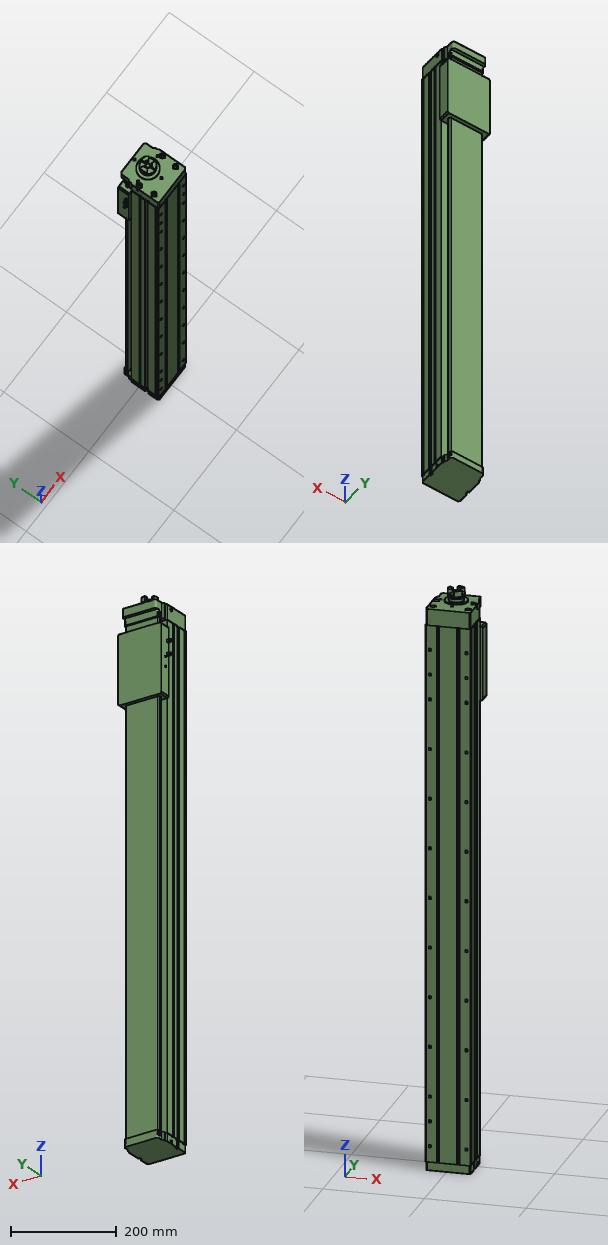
import cadquery as cq
import math


overall_height = 1155.9
end_plate_height = 17.0
head_bottom = 1098.0
head_top = 1131.0
flange_top = 1133.5
hub_bottom = 1140.0
jaw_bottom = 1148.0

profile_width = 90.0
profile_depth = 64.0
profile_chamfer = 1.5
front_slot_offset = 20.0
front_slot_width = 3.4
front_slot_depth = 8.0
front_slot_lip = 1.0
side_slot_depth = 3.0
side_slots = [(3.7, 7.2), (24.5, 31.5), (41.9, 45.4)]
middle_slot = side_slots[1]

mount_hole_diameter = 5.19
mount_hole_depth = 10.0
mount_hole_x = 36.0
first_mount_hole = 49.0
mount_hole_pitch = 100.0
pitch_count = 10
extra_hole_step = 50.0

plate_width = 88.0
plate_chamfer = 2.8
shoulder_width = 84.0
rear_width = 78.0
shoulder_top = 66.5
slope_bottom = 71.0
slope_top = 74.5
rear_depth = 87.5
rear_corner = 5.0
crest_depth = 94.28
crest_corner = 5.0
crest_bottom = 1113.0

axis_y = 57.7
flange_diameter = 45.0
motor_hole_diameter = 4.92
motor_hole_circle = 63.0
motor_hole_count = 4
motor_hole_depth = 12.0
counterbore_diameter = 11.0
counterbore_depth = 6.0
corner_bolt_diameter = 6.0
corner_bolts = [(34.5, 18.0), (37.0, 51.0)]
side_hole_diameter = 5.0
side_hole_depth = 6.0
side_hole_y = 49.0
head_side_hole_z = 1124.0
plate_side_hole_z = 5.5
clamp_hole_diameter = 9.0
clamp_bolt_diameter = 5.0
clamp_hole_depth = 3.0
clamp_bolt_depth = 10.0
clamp_hole_y = 81.0
head_clamp_z = 1105.0
plate_clamp_z = 11.0

shaft_diameter = 10.0
shaft_end_chamfer = 1.0
neck_diameter = 30.0
hub_diameter = 33.0
groove_bottom = 1143.0
groove_width = 1.5
groove_depth = 0.5
jaw_inner_diameter = 16.0
jaw_count = 3
jaw_angle = 60.0

cover_width = rear_width
cover_bottom = 76.7
cover_top = 83.6
cover_chamfer = 3.0

slider_width = 100.0
slider_bottom_y = 66.5
slider_top_y = 91.5
slider_z = 931.0
slider_length = 150.0
slider_chamfer = 3.0
nipple_reach = 8.39
nipple_base_reach = 4.0
nipple_base_diameter = 7.0
nipple_tip_diameter = 4.5
nipple_y = 70.0
nipple_heights = [1021.0, 1049.0]
slider_hole_diameter = 3.24
slider_hole_depth = 8.0
slider_hole_y = 77.0
slider_hole_heights = [993.0, 1014.0]


def box(x0, x1, y0, y1, z0, z1):
    """Block between two opposite corners."""
    block = cq.Workplane("XY").box(x1 - x0, y1 - y0, z1 - z0, centered=False)
    return block.translate((x0, y0, z0))


def rod_z(x, y, z0, z1, diameter):
    """Cylinder along Z between two heights."""
    return cq.Workplane("XY", origin=(x, y, z0)).circle(diameter / 2).extrude(z1 - z0)


def rod_x(x, y, z, length, diameter):
    """Cylinder that runs from x towards +X, or towards -X for a negative length."""
    return cq.Workplane("YZ", origin=(x, y, z)).circle(diameter / 2).extrude(length)


def rod_y(x, z, depth, diameter):
    """Cylinder that runs from the mounting face towards +Y."""
    return cq.Workplane("XZ", origin=(x, 0, z)).circle(diameter / 2).extrude(-depth)


def front_slot(side):
    """Slot with a chamfered mouth along the mounting face, at X = side * front_slot_offset."""
    inner = front_slot_width / 2
    outer = inner + front_slot_lip
    outline = [
        (-outer, 0),
        (outer, 0),
        (inner, front_slot_lip),
        (inner, front_slot_depth),
        (-inner, front_slot_depth),
        (-inner, front_slot_lip),
    ]
    slot = cq.Workplane("XY").polyline(outline).close().extrude(head_bottom)
    return slot.translate((side * front_slot_offset, 0, 0))


def side_slot(side, limits, wall_x, z0, z1):
    """Rectangular slot in a side wall."""
    inside = wall_x - side_slot_depth
    x0, x1 = sorted((side * inside, side * wall_x))
    return box(x0, x1, limits[0], limits[1], z0, z1)


def make_profile():
    half = profile_width / 2
    body = box(-half, half, 0, profile_depth, end_plate_height, head_bottom)
    body = body.edges("|Z and <Y").chamfer(profile_chamfer)
    for side in (-1, 1):
        body = body.cut(front_slot(side))
        for limits in side_slots:
            body = body.cut(side_slot(side, limits, half, end_plate_height, head_bottom))

    paired_heights = [first_mount_hole + i * mount_hole_pitch for i in range(pitch_count + 1)]
    paired_heights.append(paired_heights[-1] - extra_hole_step)
    for z in paired_heights:
        for side in (-1, 1):
            body = body.cut(rod_y(side * mount_hole_x, z, mount_hole_depth, mount_hole_diameter))
    single_height = first_mount_hole + extra_hole_step
    return body.cut(rod_y(-mount_hole_x, single_height, mount_hole_depth, mount_hole_diameter))


def plate_blank(z0, z1):
    """Common outline of head and end plate: chamfered front, stepped shoulders, narrow rounded rear."""
    half = plate_width / 2
    right_side = [
        (half - plate_chamfer, 0),
        (half, plate_chamfer),
        (half, profile_depth),
        (shoulder_width / 2, shoulder_top),
        (shoulder_width / 2, slope_bottom),
        (rear_width / 2, slope_top),
        (rear_width / 2, rear_depth),
    ]
    left_side = [(-x, y) for x, y in reversed(right_side)]
    outline = cq.Workplane("XY", origin=(0, 0, z0)).polyline(right_side + left_side).close()
    return outline.extrude(z1 - z0).edges("|Z and >Y").fillet(rear_corner)


def cut_side_holes(plate, side_z, clamp_z):
    """Cross hole and counterbored cover clamp hole on both sides of a plate."""
    for side in (-1, 1):
        holes = [
            (plate_width / 2, side_hole_y, side_z, side_hole_depth, side_hole_diameter),
            (rear_width / 2, clamp_hole_y, clamp_z, clamp_hole_depth, clamp_hole_diameter),
            (rear_width / 2, clamp_hole_y, clamp_z, clamp_bolt_depth, clamp_bolt_diameter),
        ]
        for wall_x, y, z, depth, diameter in holes:
            plate = plate.cut(rod_x(side * wall_x, y, z, -side * depth, diameter))
    return plate


def make_end_plate():
    plate = plate_blank(0, end_plate_height)
    for side in (-1, 1):
        plate = plate.cut(side_slot(side, middle_slot, plate_width / 2, 0, end_plate_height))
    return cut_side_holes(plate, plate_side_hole_z, plate_clamp_z)


def make_head():
    head = plate_blank(head_bottom, head_top)
    half = rear_width / 2
    crest = box(-half, half, profile_depth, crest_depth, crest_bottom, head_top)
    head = head.union(crest.edges("|Z and >Y").fillet(crest_corner))
    head = head.union(rod_z(0, axis_y, head_top, flange_top, flange_diameter))
    head = head.cut(rod_z(0, axis_y, head_bottom, flange_top, shaft_diameter))

    for i in range(motor_hole_count):
        angle = math.radians(i * 360 / motor_hole_count)
        x = motor_hole_circle / 2 * math.cos(angle)
        y = axis_y + motor_hole_circle / 2 * math.sin(angle)
        head = head.cut(rod_z(x, y, head_top - motor_hole_depth, head_top, motor_hole_diameter))

    for x, y in corner_bolts:
        for side in (-1, 1):
            head = head.cut(rod_z(side * x, y, head_bottom, head_top, corner_bolt_diameter))
            seat = head_top - counterbore_depth
            head = head.cut(rod_z(side * x, y, seat, head_top, counterbore_diameter))
    return cut_side_holes(head, head_side_hole_z, head_clamp_z)


def make_shaft():
    shaft = rod_z(0, axis_y, head_bottom, jaw_bottom, shaft_diameter)
    return shaft.faces(">Z").chamfer(shaft_end_chamfer)


def jaw(middle_angle):
    """Ring sector standing on the hub, centred on the given angle."""
    outer = hub_diameter / 2
    inner = jaw_inner_diameter / 2

    def point(radius, step):
        angle = math.radians(middle_angle + step * jaw_angle / 2)
        return (radius * math.cos(angle), axis_y + radius * math.sin(angle))

    sector = (
        cq.Workplane("XY", origin=(0, 0, jaw_bottom))
        .moveTo(*point(inner, -1))
        .lineTo(*point(outer, -1))
        .threePointArc(point(outer, 0), point(outer, 1))
        .lineTo(*point(inner, 1))
        .threePointArc(point(inner, 0), point(inner, -1))
        .close()
    )
    return sector.extrude(overall_height - jaw_bottom)


def make_hub():
    hub = rod_z(0, axis_y, flange_top, hub_bottom, neck_diameter)
    hub = hub.union(rod_z(0, axis_y, hub_bottom, jaw_bottom, hub_diameter))
    for i in range(jaw_count):
        hub = hub.union(jaw(180 + i * 360 / jaw_count))
    groove_top = groove_bottom + groove_width
    groove = rod_z(0, axis_y, groove_bottom, groove_top, hub_diameter)
    groove = groove.cut(rod_z(0, axis_y, groove_bottom, groove_top, hub_diameter - 2 * groove_depth))
    hub = hub.cut(groove)
    return hub.cut(rod_z(0, axis_y, flange_top, jaw_bottom, shaft_diameter))


def make_cover():
    half = cover_width / 2
    strip = box(-half, half, cover_bottom, cover_top, end_plate_height, head_bottom)
    return strip.edges("|Z and >Y").chamfer(cover_chamfer)


def make_slider(cover_strip):
    half = slider_width / 2
    body = box(-half, half, slider_bottom_y, slider_top_y, slider_z, slider_z + slider_length)
    body = body.edges("|Y").chamfer(slider_chamfer)
    for z in nipple_heights:
        body = body.union(rod_x(-half, nipple_y, z, -nipple_reach, nipple_tip_diameter))
        body = body.union(rod_x(-half, nipple_y, z, -nipple_base_reach, nipple_base_diameter))
    for z in slider_hole_heights:
        body = body.cut(rod_x(-half, slider_hole_y, z, slider_hole_depth, slider_hole_diameter))
    return body.cut(cover_strip)


profile = make_profile()
end_plate = make_end_plate()
head = make_head()
shaft = make_shaft()
hub = make_hub()
cover = make_cover()
slider = make_slider(cover)

result = cq.Compound.makeCompound(
    [
        profile.val(),
        end_plate.val(),
        head.val(),
        shaft.val(),
        hub.val(),
        cover.val(),
        slider.val(),
    ]
)